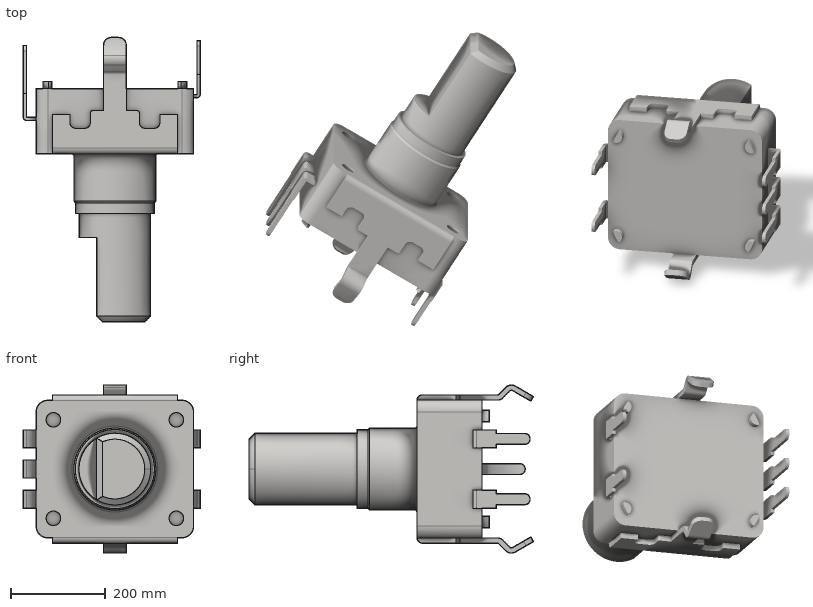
import cadquery as cq
import math


CASE_WIDTH = 333.5
CASE_HEIGHT = 291.5
CASE_DEPTH = 138.0
CASE_CORNER_RADIUS = 25.0

HOLE_DIAMETER = 31.0
HOLE_DEPTH = 10.0
HOLE_X = 130.0
HOLE_Z = 104.0

PEG_RADIUS = 13.0
PEG_X = 146.0
PEG_Z = 112.5
PEG_TILT = 27
PEG_CROWN = 1.0
PEG_LENGTH = 15.5

BUSHING_RADIUS = 86.5
BUSHING_LENGTH = 103.5
BUSHING_ROOT_FILLET = 4.0
BUSHING_CHAMFER_LENGTH = 3.5
COLLAR_RADIUS = 83.5
COLLAR_FRONT = 126.5

SHAFT_RADIUS = 76.0
SHAFT_FRONT = 355
FLAT_START = 177.0
FLAT_OFFSET = 38.5
SHAFT_CHAMFER = 12.5

CLIP_THICKNESS = 11.5
CLIP_WIDTH = 265
CLIP_SIDE_REACH = 83.0
CLIP_CENTER_REACH = 91.5
CLIP_SHOULDER_FILLET = 5.0
CLIP_FOLD_RADIUS = 12.5
NOTCH_INNER_X = 52.0
NOTCH_OUTER_X = 95.0
NOTCH_BOTTOM = 54
NOTCH_FILLET = 12
TONGUE_WIDTH = 48
TONGUE_TIP_FILLET = 18
TONGUE_BEND_Y = 174.5
TONGUE_RISE = 23.5
TONGUE_RISE_ANGLE = 45
TONGUE_DROP_ANGLE = 30
TONGUE_DROP_LENGTH = 53.0
BEND_INNER_RADIUS = 2.0
CREST_INNER_RADIUS = 5.5

PIN_THICKNESS = 7.0
PIN_PITCH = 64.0
PIN_WIDE_WIDTH = 38.5
PIN_NARROW_WIDTH = 23.5
LEFT_PIN_X = 194.0
LEFT_FOOT_Y = 70.5
LEFT_SHOULDER_Y = 128.0
LEFT_TIP_Y = 229.5
RIGHT_PIN_X = 180.5
RIGHT_FOOT_Y = 118.5
RIGHT_SHOULDER_Y = 168.0
RIGHT_TIP_Y = 239.5

CLIP_BASE_Z = CASE_HEIGHT / 2
CLIP_TOP_Z = CLIP_BASE_Z + CLIP_THICKNESS
FOLD_BASE_Z = CLIP_TOP_Z - CLIP_FOLD_RADIUS


def front_plane(y):
    """Sketch plane at the given Y, with local axes X and Z and its normal toward -Y."""
    return cq.Workplane("XZ", origin=(0, y, 0))


def make_case():
    case = front_plane(CASE_DEPTH).rect(CASE_WIDTH, CASE_HEIGHT).extrude(CASE_DEPTH)
    case = case.edges("|Y").fillet(CASE_CORNER_RADIUS)
    holes = (
        front_plane(HOLE_DEPTH)
        .rect(2 * HOLE_X, 2 * HOLE_Z, forConstruction=True)
        .vertices()
        .circle(HOLE_DIAMETER / 2)
        .extrude(HOLE_DEPTH)
    )
    case = case.cut(holes)

    fold_seat = cq.Workplane("XY", origin=(0, 0, FOLD_BASE_Z)).box(
        CLIP_WIDTH, CLIP_FOLD_RADIUS, CLIP_FOLD_RADIUS, centered=(True, False, False)
    )
    return case.cut(fold_seat).cut(fold_seat.mirror("XY"))


def make_bushing():
    """Turned bushing with a concave root fillet, an end chamfer and a narrower collar."""
    root = BUSHING_ROOT_FILLET
    root_middle = root * (1 - math.sqrt(0.5))
    return (
        cq.Workplane("XY")
        .lineTo(BUSHING_RADIUS + root, 0)
        .threePointArc((BUSHING_RADIUS + root_middle, -root_middle), (BUSHING_RADIUS, -root))
        .lineTo(BUSHING_RADIUS, BUSHING_CHAMFER_LENGTH - BUSHING_LENGTH)
        .lineTo(COLLAR_RADIUS, -BUSHING_LENGTH)
        .lineTo(COLLAR_RADIUS, -COLLAR_FRONT)
        .lineTo(0, -COLLAR_FRONT)
        .close()
        .revolve(360, (0, 0, 0), (0, 1, 0))
    )


def make_peg():
    """Rear peg at the upper right corner of the case."""
    peg_rear = CASE_DEPTH + PEG_LENGTH
    return (
        front_plane(peg_rear)
        .center(PEG_X, PEG_Z)
        .transformed(rotate=(0, 0, PEG_TILT))
        .moveTo(0, PEG_RADIUS)
        .threePointArc((-PEG_RADIUS, 0), (0, -PEG_RADIUS))
        .threePointArc((PEG_CROWN, 0), (0, PEG_RADIUS))
        .close()
        .extrude(PEG_LENGTH)
    )


def make_clip_plate():
    """Notched plate on top of the case, with its front edge rounded down to the front face.

    The plate is rooted inside the case, one fold radius below the fold.
    """
    half_width = CLIP_WIDTH / 2
    plate = (
        cq.Workplane("XY", origin=(0, 0, FOLD_BASE_Z - CLIP_FOLD_RADIUS))
        .moveTo(-half_width, 0)
        .lineTo(half_width, 0)
        .lineTo(half_width, CLIP_SIDE_REACH)
        .lineTo(NOTCH_INNER_X, CLIP_SIDE_REACH)
        .lineTo(NOTCH_INNER_X, CLIP_CENTER_REACH)
        .lineTo(-NOTCH_INNER_X, CLIP_CENTER_REACH)
        .lineTo(-NOTCH_INNER_X, CLIP_SIDE_REACH)
        .lineTo(-half_width, CLIP_SIDE_REACH)
        .close()
        .extrude(2 * CLIP_FOLD_RADIUS)
    )
    plate = plate.edges("|Z and >Y").fillet(CLIP_SHOULDER_FILLET)
    notch_width = NOTCH_OUTER_X - NOTCH_INNER_X
    notch_middle = (NOTCH_OUTER_X + NOTCH_INNER_X) / 2
    notch_length = CLIP_SIDE_REACH - NOTCH_BOTTOM
    for side in (-1, 1):
        notch = (
            cq.Workplane("XY", origin=(side * notch_middle, NOTCH_BOTTOM, CLIP_BASE_Z))
            .box(notch_width, notch_length, CLIP_THICKNESS, centered=(True, False, False))
            .edges("|Z and <Y")
            .fillet(NOTCH_FILLET)
        )
        plate = plate.cut(notch)
    return plate.edges("<Y and >Z").fillet(CLIP_FOLD_RADIUS)


def make_tongue():
    """Springy strip that runs back from the clip plate, rises to a crest and drops to its tip."""
    half = CLIP_THICKNESS / 2
    rise = math.radians(TONGUE_RISE_ANGLE)
    drop = math.radians(TONGUE_DROP_ANGLE)
    bend_y = TONGUE_BEND_Y
    bend_z = CLIP_BASE_Z + half
    crest_y = bend_y + TONGUE_RISE / math.tan(rise)
    crest_z = bend_z + TONGUE_RISE
    tip_y = crest_y + TONGUE_DROP_LENGTH * math.cos(drop)
    tip_z = crest_z - TONGUE_DROP_LENGTH * math.sin(drop)

    bend_shift = half * math.tan(rise / 2)
    crest_reach = half / math.cos((rise + drop) / 2)
    crest_lean = (rise - drop) / 2
    crest_dy = crest_reach * math.sin(crest_lean)
    crest_dz = crest_reach * math.cos(crest_lean)
    tip_dy = half * math.sin(drop)
    tip_dz = half * math.cos(drop)

    strip = (
        cq.Workplane("YZ", origin=(-TONGUE_WIDTH / 2, 0, 0))
        .moveTo(NOTCH_BOTTOM, bend_z - half)
        .lineTo(bend_y + bend_shift, bend_z - half)
        .lineTo(crest_y + crest_dy, crest_z - crest_dz)
        .lineTo(tip_y - tip_dy, tip_z - tip_dz)
        .lineTo(tip_y + tip_dy, tip_z + tip_dz)
        .lineTo(crest_y - crest_dy, crest_z + crest_dz)
        .lineTo(bend_y - bend_shift, bend_z + half)
        .lineTo(NOTCH_BOTTOM, bend_z + half)
        .close()
        .extrude(TONGUE_WIDTH)
    )

    def round_edge(solid, y, z, radius):
        return solid.edges(cq.selectors.NearestToPointSelector((0, y, z))).fillet(radius)

    strip = round_edge(strip, bend_y - bend_shift, bend_z + half, BEND_INNER_RADIUS)
    strip = round_edge(strip, bend_y + bend_shift, bend_z - half, BEND_INNER_RADIUS + CLIP_THICKNESS)
    strip = round_edge(strip, crest_y + crest_dy, crest_z - crest_dz, CREST_INNER_RADIUS)
    strip = round_edge(strip, crest_y - crest_dy, crest_z + crest_dz, CREST_INNER_RADIUS + CLIP_THICKNESS)
    for side in (-1, 1):
        tip_corner = (side * TONGUE_WIDTH / 2, tip_y, tip_z)
        strip = strip.edges(cq.selectors.NearestToPointSelector(tip_corner)).fillet(TONGUE_TIP_FILLET)
    return strip


def make_pin(outer_x, foot_y, shoulder_y, tip_y, z):
    """Terminal on the +X side: a foot out of the case, bent back into a stepped, round-ended blade."""
    wide = PIN_WIDE_WIDTH / 2
    narrow = PIN_NARROW_WIDTH / 2
    inner_x = outer_x - PIN_THICKNESS
    blade = (
        cq.Workplane("YZ", origin=(inner_x, 0, z))
        .moveTo(foot_y, -wide)
        .lineTo(shoulder_y, -wide)
        .lineTo(shoulder_y, -narrow)
        .lineTo(tip_y - narrow, -narrow)
        .threePointArc((tip_y, 0), (tip_y - narrow, narrow))
        .lineTo(shoulder_y, narrow)
        .lineTo(shoulder_y, wide)
        .lineTo(foot_y, wide)
        .close()
        .extrude(PIN_THICKNESS)
    )
    case_side = CASE_WIDTH / 2
    foot = cq.Workplane("XY", origin=(case_side, foot_y, z)).box(
        inner_x - case_side, PIN_THICKNESS, PIN_WIDE_WIDTH, centered=(False, False, True)
    )
    return blade.union(foot).edges("|Z and <Y and >X").fillet(PIN_THICKNESS)


def make_body():
    body = make_case().union(make_bushing())

    upper_peg = make_peg()
    for peg in (upper_peg, upper_peg.mirror("YZ")):
        body = body.union(peg).union(peg.mirror("XY"))

    clip = make_clip_plate().union(make_tongue())
    body = body.union(clip).union(clip.mirror("XY"))

    for row in (-1, 0, 1):
        left_pin = make_pin(LEFT_PIN_X, LEFT_FOOT_Y, LEFT_SHOULDER_Y, LEFT_TIP_Y, row * PIN_PITCH)
        body = body.union(left_pin.mirror("YZ"))
    for row in (-1, 1):
        right_pin = make_pin(RIGHT_PIN_X, RIGHT_FOOT_Y, RIGHT_SHOULDER_Y, RIGHT_TIP_Y, row * PIN_PITCH)
        body = body.union(right_pin)
    return body


def make_shaft():
    """Round shaft on the collar's end face, with a flat on its -X side and a chamfered end."""
    shaft = front_plane(-COLLAR_FRONT).circle(SHAFT_RADIUS).extrude(SHAFT_FRONT - COLLAR_FRONT)
    flat_depth = SHAFT_RADIUS - FLAT_OFFSET
    flat_cut = cq.Workplane("XY", origin=(-SHAFT_RADIUS, -SHAFT_FRONT, 0)).box(
        flat_depth, SHAFT_FRONT - FLAT_START, 2 * SHAFT_RADIUS, centered=(False, False, True)
    )
    return shaft.cut(flat_cut).faces("<Y").chamfer(SHAFT_CHAMFER)


body = make_body()
shaft = make_shaft()
result = cq.Compound.makeCompound([body.solids().val(), shaft.solids().val()])